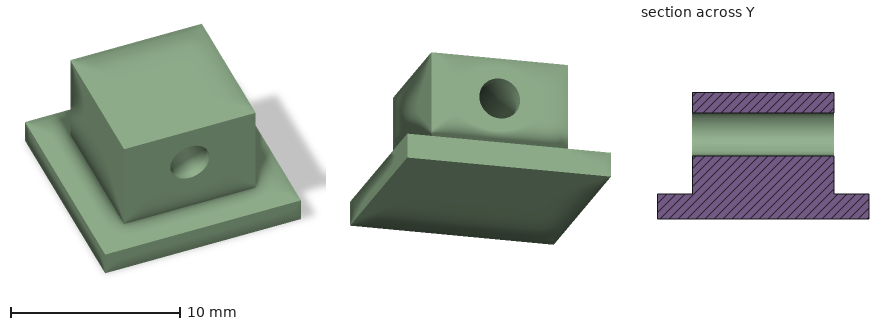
import cadquery as cq

plate_side = 12.5
plate_thickness = 1.5

block_side = 8.4
total_height = 7.5
block_height = total_height - plate_thickness

hole_diameter = 2.5
hole_axis_below_top = 2.5
hole_axis_height = total_height - hole_axis_below_top

plate = cq.Workplane("XY").rect(plate_side, plate_side).extrude(plate_thickness)

block = (
    cq.Workplane("XY")
    .workplane(offset=plate_thickness)
    .rect(block_side, block_side)
    .extrude(block_height)
)

cross_hole = (
    cq.Workplane("YZ")
    .center(0, hole_axis_height)
    .circle(hole_diameter / 2)
    .extrude(block_side / 2, both=True)
)

result = plate.union(block).cut(cross_hole)